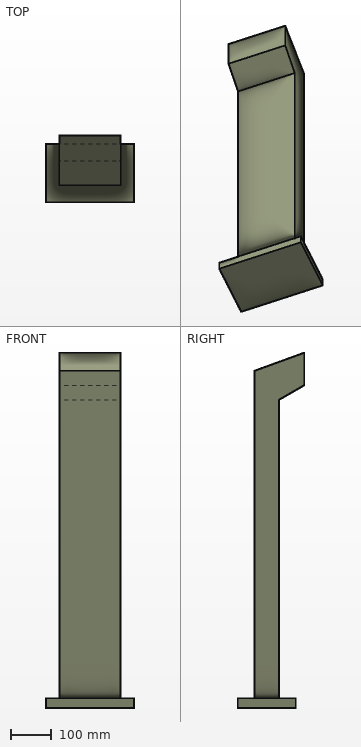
import cadquery as cq
import math

overall_height = 869.72
overall_depth = 163.75

base_width = 215.7
base_depth = 143.0
base_thickness = 24.5

post_width = 150.0
post_depth = 60.0

head_rear_height = 80.0
top_slope = math.radians(20)
underside_slope = math.radians(30)

post_front_y = -post_depth / 2
post_rear_y = post_depth / 2
head_rear_y = overall_depth - base_depth / 2
head_depth = head_rear_y - post_front_y
head_overhang = head_rear_y - post_rear_y

head_front_z = overall_height - head_depth * math.tan(top_slope)
head_rear_bottom_z = overall_height - head_rear_height
underside_corner_z = head_rear_bottom_z - head_overhang * math.tan(underside_slope)


def make_base():
    """Flat rectangular plate resting on Z = 0."""
    return cq.Workplane("XY").box(
        base_width, base_depth, base_thickness, centered=(True, True, False)
    )


def make_post_and_head():
    """Side outline of the post and its sloping head, extruded along X."""
    outline = [
        (post_front_y, base_thickness),
        (post_front_y, head_front_z),
        (head_rear_y, overall_height),
        (head_rear_y, head_rear_bottom_z),
        (post_rear_y, underside_corner_z),
        (post_rear_y, base_thickness),
    ]
    return cq.Workplane("YZ").polyline(outline).close().extrude(post_width / 2, both=True)


result = make_base().union(make_post_and_head())